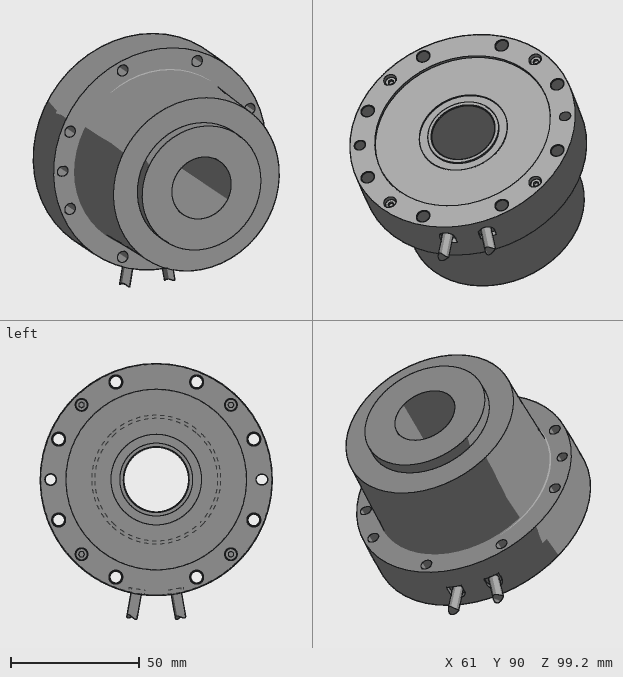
import cadquery as cq
import math


total_length = 61.0
front_plate_end = 10.6
flange_end = 19.8
body_end = 55.9
hub_gap = 0.3

flange_dia = 90.0
body_root_dia = 71.8
hub_dia = 50.0
hub_neck_dia = 47.7
face_recess_dia = 70.1
seal_groove_dia = 35.1
shaft_dia = 28.3
bore_dia = 25.0

draft_angle = 1.5
root_fillet = 0.6
face_recess_depth = 1.2
seal_groove_depth = 0.6
shaft_setback = 1.0
bore_chamfer = 0.3

bolt_circle_dia = 81.9
bolt_count = 8
bolt_mouth_dia = 5.5
bolt_front_dia = 5.0
bolt_rear_dia = 4.5
pin_mouth_dia = 4.6
pin_hole_dia = 4.2
pin_slot_width = 4.0
pin_slot_length = 4.5

screw_count = 4
screw_first_angle = 45.0
screw_counterbore_dia = 5.0
screw_head_dia = 4.4
screw_head_height = 1.0
screw_floor_depth = 2.5
hex_socket_width = 2.0
hex_socket_depth = 1.0
hex_socket_turn = 15.0

cable_dia = 4.2
cable_x = 7.1
cable_spread_angle = 10.0
cable_end_radius = 54.1
cable_wave = 0.7
cable_port_width = 6.3
cable_port_depth = 2.0


def make_turned_body():
    """Flange, tapered body, hub and bore as one half section revolved about the X axis."""
    draft = math.tan(math.radians(draft_angle))
    flange_r = flange_dia / 2
    flange_rear_r = flange_r - (flange_end - front_plate_end) * draft
    root_r = body_root_dia / 2
    root_end = flange_end + root_fillet
    body_rear_r = root_r - (body_end - root_end) * draft
    fillet_bulge = root_fillet * (1 - math.cos(math.radians(45)))
    hub_start = body_end + hub_gap
    groove_floor = face_recess_depth + seal_groove_depth
    bore_r = bore_dia / 2
    section = (
        cq.Workplane("XZ")
        .moveTo(0, face_recess_dia / 2)
        .lineTo(0, flange_r)
        .lineTo(front_plate_end, flange_r)
        .lineTo(flange_end, flange_rear_r)
        .lineTo(flange_end, root_r + root_fillet)
        .threePointArc((flange_end + fillet_bulge, root_r + fillet_bulge), (root_end, root_r))
        .lineTo(body_end, body_rear_r)
        .lineTo(body_end, hub_neck_dia / 2)
        .lineTo(hub_start, hub_neck_dia / 2)
        .lineTo(hub_start, hub_dia / 2)
        .lineTo(total_length, hub_dia / 2)
        .lineTo(total_length, bore_r)
        .lineTo(shaft_setback + bore_chamfer, bore_r)
        .lineTo(shaft_setback, bore_r + bore_chamfer)
        .lineTo(shaft_setback, shaft_dia / 2)
        .lineTo(groove_floor, shaft_dia / 2)
        .lineTo(groove_floor, seal_groove_dia / 2)
        .lineTo(face_recess_depth, seal_groove_dia / 2)
        .lineTo(face_recess_depth, face_recess_dia / 2)
        .close()
    )
    return section.revolve(360, (0, 0, 0), (1, 0, 0))


def bolt_holes():
    """Through holes, chamfered at the front face and narrower behind the front plate."""
    bolts = (
        cq.Workplane("YZ")
        .polarArray(bolt_circle_dia / 2, 180 / bolt_count, 360, bolt_count)
    )
    mouths = bolts.circle(bolt_mouth_dia / 2).extrude((bolt_mouth_dia - bolt_front_dia) / 2, taper=45)
    front = bolts.circle(bolt_front_dia / 2).extrude(front_plate_end)
    rear = bolts.circle(bolt_rear_dia / 2).extrude(flange_end)
    return rear.union(front).union(mouths)


def pin_holes():
    """Chamfered round hole on the +Y side and a slot across from it on the -Y side."""
    hole_center = cq.Workplane("YZ").center(bolt_circle_dia / 2, 0)
    hole = hole_center.circle(pin_hole_dia / 2).extrude(flange_end)
    mouth = hole_center.circle(pin_mouth_dia / 2).extrude((pin_mouth_dia - pin_hole_dia) / 2, taper=45)
    slot_center = cq.Workplane("YZ").center(-bolt_circle_dia / 2, 0)
    slot = slot_center.slot2D(pin_slot_length, pin_slot_width).extrude(flange_end)
    return hole.union(mouth).union(slot)


def screw_recess():
    """Counterbore on the +Z side with the head of a hex socket screw left standing on its floor."""
    center = (0, 0, bolt_circle_dia / 2)
    head_top = screw_floor_depth - screw_head_height
    counterbore = cq.Workplane("YZ", origin=center).circle(screw_counterbore_dia / 2).extrude(screw_floor_depth)
    top_plane = cq.Workplane("YZ", origin=center).workplane(offset=head_top)
    head = top_plane.circle(screw_head_dia / 2).extrude(screw_head_height)
    hex_corner_dia = hex_socket_width / math.cos(math.radians(30))
    socket = top_plane.transformed(rotate=(0, 0, hex_socket_turn)).polygon(6, hex_corner_dia)
    return counterbore.cut(head).union(socket.extrude(hex_socket_depth))


def turn_about_axis(shape, angle):
    """Turn a shape about the X axis."""
    return shape.rotate((0, 0, 0), (1, 0, 0), angle)


def make_cable():
    """Cable hanging along -Z, with a saddle-shaped broken end."""
    start = flange_dia / 2 - cable_port_depth
    length = cable_end_radius + 2 * cable_wave - start
    cable = cq.Workplane("XY", origin=(cable_x, 0, -start)).circle(cable_dia / 2).extrude(-length)
    half = cable_dia / 2
    rise = 2 * cable_wave
    bottom = -2 * cable_end_radius
    near = -cable_end_radius
    cutter = (
        cq.Workplane("YZ", origin=(cable_x - half, 0, 0))
        .polyline([(-half, near - rise), (half, near + rise), (half, bottom), (-half, bottom)]).close()
        .workplane(offset=2 * half)
        .polyline([(-half, near + rise), (half, near - rise), (half, bottom), (-half, bottom)]).close()
        .loft(ruled=True)
    )
    return cable.cut(cutter)


def make_cable_port():
    """U-shaped notch around the cable, open toward the rear half of the flange."""
    top_plane = cq.Workplane("XY", origin=(cable_x, 0, cable_port_depth - flange_dia / 2))
    round_end = top_plane.circle(cable_port_width / 2).extrude(-2 * cable_port_depth)
    open_length = front_plate_end - cable_x
    straight = top_plane.center(open_length / 2, 0).rect(open_length, cable_port_width)
    return round_end.union(straight.extrude(-2 * cable_port_depth))


part = make_turned_body().cut(bolt_holes()).cut(pin_holes())
for i in range(screw_count):
    part = part.cut(turn_about_axis(screw_recess(), screw_first_angle + i * 360 / screw_count))
for angle in (-cable_spread_angle, cable_spread_angle):
    part = part.cut(turn_about_axis(make_cable_port(), angle))
    part = part.union(turn_about_axis(make_cable(), angle))

result = part